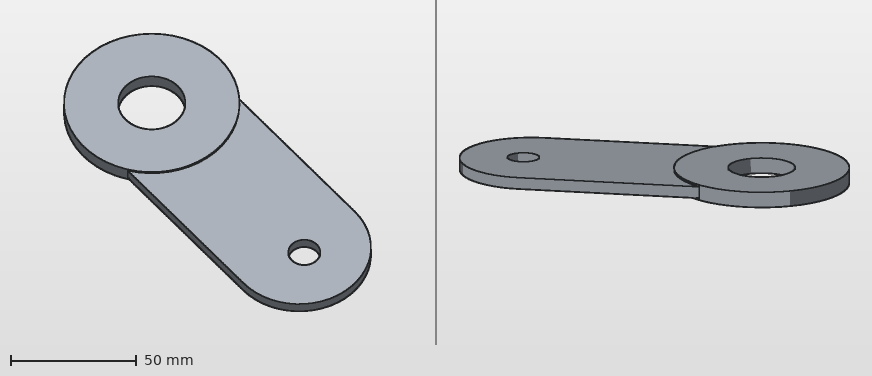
import cadquery as cq

ring_diameter = 69.85
ring_thickness = 6.35
ring_bore_diameter = 26.7
arm_width = 57.15
arm_thickness = 4.76
overall_length = 156.61
eye_diameter = 12.7
eye_edge_distance = 25.4

arm_tip_x = overall_length - ring_diameter / 2
arm_round_x = arm_tip_x - arm_width / 2
eye_x = arm_tip_x - eye_edge_distance


def centred_plane(thickness):
    """Workplane at the underside of a plate of this thickness centred on Z = 0."""
    return cq.Workplane("XY").workplane(offset=-thickness / 2)


def make_disc(x, diameter):
    """Disc of ring thickness, centred at X = x."""
    return centred_plane(ring_thickness).center(x, 0).circle(diameter / 2).extrude(ring_thickness)


def make_arm():
    """Thinner plate from the ring centre to a full-radius tip, at mid-height of the ring."""
    half_width = arm_width / 2
    return (
        centred_plane(arm_thickness)
        .moveTo(0, -half_width)
        .lineTo(arm_round_x, -half_width)
        .threePointArc((arm_tip_x, 0), (arm_round_x, half_width))
        .lineTo(0, half_width)
        .close()
        .extrude(arm_thickness)
    )


body = make_disc(0, ring_diameter).union(make_arm())
result = body.cut(make_disc(0, ring_bore_diameter)).cut(make_disc(eye_x, eye_diameter))